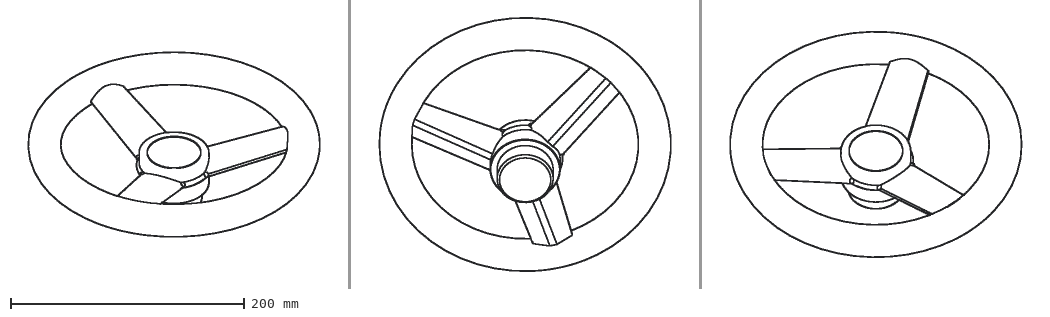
import cadquery as cq

outer_diameter = 250.0
rim_thickness = 28.0
total_height = 72.0
rim_radius = (outer_diameter - rim_thickness) / 2
rim_center_z = total_height - rim_thickness / 2

boss_diameter = 48.0
boss_height = 17.0
boss_chamfer = 2.0
hub_diameter = 60.0
hub_top_z = 50.0
hub_top_fillet = 1.0
hub_bottom_chamfer = 0.5
recess_diameter = 46.0
recess_depth = 0.7
bead_diameter = 6.0
bead_overhang = 2.2
bead_z = 36.2

spoke_count = 3
first_spoke_angle = -90.0
hub_radius = hub_diameter / 2
spoke_start_radius = hub_radius / 2
spoke_half_width = 20.0
width_slope = -0.037
edge_z_at_hub = 37.7
edge_slope = 0.27
ridge_z = 24.5
ridge_slope = 0.37
ridge_width = 6.2
crown_height = 5.5
edge_height = 3.0
edge_bulge = 0.7
corner_ball_diameter = 4.5
corner_ball_reach = 25.2
corner_ball_offset = 18.7
corner_ball_z = 37.5


def make_rim():
    """Round ring of circular section."""
    return cq.Workplane("XZ").center(rim_radius, rim_center_z).circle(rim_thickness / 2).revolve(
        360, (-rim_radius, 0, 0), (-rim_radius, 1, 0)
    )


def make_hub():
    """Stepped cylinder with a round bead around it."""
    boss = cq.Workplane("XY").circle(boss_diameter / 2).extrude(hub_top_z)
    boss = boss.faces("<Z").chamfer(boss_chamfer)
    body = cq.Workplane("XY").workplane(offset=boss_height)
    body = body.circle(hub_radius).extrude(hub_top_z - boss_height)
    body = body.faces("<Z").chamfer(hub_bottom_chamfer)
    body = body.faces(">Z").edges().fillet(hub_top_fillet)
    bead_radius = hub_radius + bead_overhang - bead_diameter / 2
    bead = cq.Workplane("XZ").center(bead_radius, bead_z).circle(bead_diameter / 2).revolve(
        360, (-bead_radius, 0, 0), (-bead_radius, 1, 0)
    )
    return boss.union(body).union(bead)


def spoke_section(radius):
    """Crowned top, rounded edges and a flat-bottomed V below, at a distance from the axis."""
    reach = radius - hub_radius
    half_width = spoke_half_width + width_slope * reach
    side = half_width - edge_bulge
    edge_z = edge_z_at_hub + edge_slope * reach
    lower_z = edge_z - edge_height / 2
    upper_z = edge_z + edge_height / 2
    bottom_z = ridge_z + ridge_slope * reach
    section = (
        cq.Workplane("YZ", origin=(radius, 0, 0))
        .moveTo(-ridge_width / 2, bottom_z)
        .lineTo(ridge_width / 2, bottom_z)
        .lineTo(side, lower_z)
        .threePointArc((half_width, edge_z), (side, upper_z))
        .threePointArc((0, upper_z + crown_height), (-side, upper_z))
        .threePointArc((-half_width, edge_z), (-side, lower_z))
        .close()
    )
    return section.val()


def make_spoke():
    """Spoke along +X, rising from inside the hub to the core of the rim."""
    sections = [spoke_section(spoke_start_radius), spoke_section(rim_radius)]
    spoke = cq.Workplane(cq.Solid.makeLoft(sections, True))
    balls = (
        cq.Workplane("XY", origin=(corner_ball_reach, 0, corner_ball_z))
        .pushPoints([(0, -corner_ball_offset), (0, corner_ball_offset)])
        .sphere(corner_ball_diameter / 2)
    )
    return spoke.union(balls)


result = make_rim().union(make_hub())
spoke = make_spoke()
for index in range(spoke_count):
    angle = first_spoke_angle + index * 360 / spoke_count
    result = result.union(spoke.rotate((0, 0, 0), (0, 0, 1), angle))

recess = cq.Workplane("XY").workplane(offset=hub_top_z - recess_depth)
result = result.cut(recess.circle(recess_diameter / 2).extrude(recess_depth))